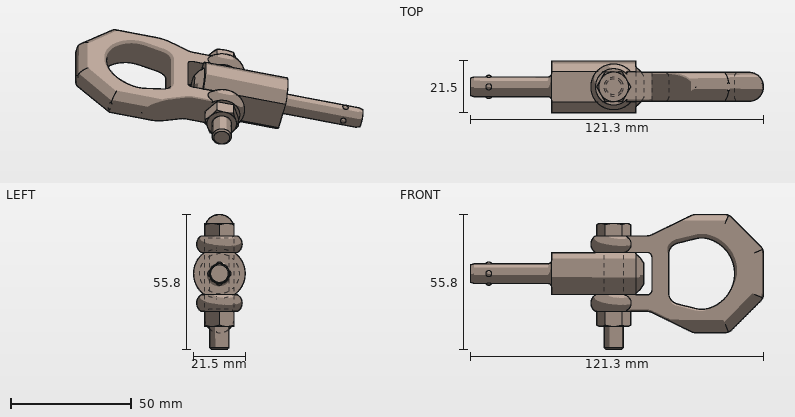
import cadquery as cq
import math


RING_THICKNESS = 12.1
RING_APOTHEM = 24.5
RING_CENTER_X = 37.5
RING_CORNER_RADIUS = 4.1
RIM_RADIUS = RING_THICKNESS / 2

ARM_HALF_HEIGHT = 15.6
TAPER_START_X = 14.8
TAPER_END_X = 33.0
BEND_RADIUS = 4.8
ARM_EDGE_RADIUS = 0.8
SLOT_END_X = 15.8
SLOT_CORNER_RADIUS = 2.0

EYE_CENTER_X = 35.0
EYE_RADIUS = 14.9
EYE_FLAT_X = 22.8
EYE_SIDE_ANGLE = math.radians(14.0)
EYE_SIDE_HEIGHT = 14.7
EYE_CORNER_RADIUS = 4.6
EYE_BLEND_RADIUS = 10.1
EYE_MOUTH_RADIUS = 2.0

BOSS_RADIUS = 9.5
BOSS_FACE_RADIUS = 7.5
BOLT_RADIUS = 4.0
BOLT_END_Z = -31.3
BOLT_END_CHAMFER = 0.7
HEX_FLATS = 12.2
HEX_CHAMFER_ANGLE = math.radians(30.0)
HEAD_HEIGHT = 5.1
NUT_HEIGHT = 6.2

HOUSING_DIAMETER = 21.5
HOUSING_RADIUS = HOUSING_DIAMETER / 2
HOUSING_HALF_HEIGHT = 8.7
HOUSING_START_X = -25.7
HOUSING_END_X = 9.2
DOME_BASE_RADIUS = 8.2
DOME_STEP_X = 11.0
DOME_STEP_RADIUS = 6.5
DOME_END_X = 12.5
DOME_END_RADIUS = 4.4
PIN_RADIUS = 4.1
PIN_TIP_X = -59.3
PIN_TIP_RADIUS = 3.6
PIN_TIP_LENGTH = 1.6
PIN_ROOT_RADIUS = 1.5
BALL_X = -51.7
BALL_RADIUS = 1.3
BALL_OFFSET = 3.5

REACH = 97.0

CLEARANCE = 0.1


def rounded_slab(angle):
    """Long slab whose rounded end lies on one side of the ring octagon."""
    straight_end = RING_APOTHEM - RIM_RADIUS
    slab = (
        cq.Workplane("XY")
        .moveTo(-REACH, -RIM_RADIUS)
        .lineTo(straight_end, -RIM_RADIUS)
        .threePointArc((RING_APOTHEM, 0), (straight_end, RIM_RADIUS))
        .lineTo(-REACH, RIM_RADIUS)
        .close()
        .extrude(REACH, both=True)
    )
    return slab.rotate((0, 0, 0), (0, 1, 0), angle).translate((RING_CENTER_X, 0, 0))


def corners_at(x):
    """Selector for the outline corners at one X."""
    return cq.selectors.BoxSelector((x - CLEARANCE, -REACH, -REACH), (x + CLEARANCE, REACH, REACH))


def ring_outline():
    """Plate with the outline of the arms, tapers and ring, corners rounded."""
    end_x = RING_CENTER_X + RING_APOTHEM
    half_side = RING_APOTHEM * math.tan(math.pi / 8)
    side_end_x = RING_CENTER_X + half_side
    upper = [
        (0, ARM_HALF_HEIGHT),
        (TAPER_START_X, ARM_HALF_HEIGHT),
        (TAPER_END_X, RING_APOTHEM),
        (side_end_x, RING_APOTHEM),
        (end_x, half_side),
    ]
    lower = [(x, -z) for x, z in reversed(upper)]
    plate = cq.Workplane("XZ").polyline(upper + lower).close().extrude(RING_THICKNESS, both=True)
    for bend_x in (TAPER_START_X, TAPER_END_X):
        plate = plate.edges("|Y").edges(corners_at(bend_x)).fillet(BEND_RADIUS)
    for corner_x in (side_end_x, end_x):
        plate = plate.edges("|Y").edges(corners_at(corner_x)).fillet(RING_CORNER_RADIUS)
    return plate


def ring_blank():
    """Outline plate with its rim rounded by one slab per octagon side."""
    blank = ring_outline()
    for angle in (-90, -45, 0, 45, 90):
        blank = blank.intersect(rounded_slab(angle))
    return blank


def round_outer_edges(blank):
    """Round the rims of the arm, bend and taper faces above and below."""
    span_end_x = TAPER_END_X + BEND_RADIUS
    inner_z = ARM_HALF_HEIGHT - CLEARANCE
    upper = cq.selectors.BoxSelector(
        (-CLEARANCE, -REACH, inner_z), (span_end_x, REACH, REACH), boundingbox=True)
    lower = cq.selectors.BoxSelector(
        (-CLEARANCE, -REACH, -REACH), (span_end_x, REACH, -inner_z), boundingbox=True)
    flank_rims = blank.edges("not(|Y)").edges(upper + lower)
    return flank_rims.fillet(ARM_EDGE_RADIUS)


def eye_cutter():
    """Wedge with slanted sides, closed by a round end that blends into them."""
    rise = math.tan(EYE_SIDE_ANGLE)
    flat_height = EYE_SIDE_HEIGHT - rise * (EYE_CENTER_X - EYE_FLAT_X)
    far_x = EYE_CENTER_X + 2 * EYE_RADIUS
    far_height = EYE_SIDE_HEIGHT + rise * (far_x - EYE_CENTER_X)
    wedge = (
        cq.Workplane("XZ")
        .polyline([
            (EYE_FLAT_X, -flat_height),
            (far_x, -far_height),
            (far_x, far_height),
            (EYE_FLAT_X, flat_height),
        ])
        .close()
        .extrude(RING_THICKNESS, both=True)
        .edges("|Y and <X")
        .fillet(EYE_CORNER_RADIUS)
    )
    round_end = (
        cq.Workplane("XZ")
        .moveTo(0, -EYE_RADIUS)
        .lineTo(EYE_CENTER_X, -EYE_RADIUS)
        .threePointArc((EYE_CENTER_X + EYE_RADIUS, 0), (EYE_CENTER_X, EYE_RADIUS))
        .lineTo(0, EYE_RADIUS)
        .close()
        .extrude(RING_THICKNESS, both=True)
    )
    blend_edges = cq.selectors.BoxSelector((EYE_CENTER_X, -REACH, -REACH), (REACH, REACH, REACH))
    return wedge.intersect(round_end).edges("|Y").edges(blend_edges).fillet(EYE_BLEND_RADIUS)


def cut_eye(ring):
    """Cut the opening and round its mouth on both faces."""
    eye = eye_cutter()
    half_height = EYE_RADIUS + CLEARANCE
    mouth = cq.selectors.BoxSelector(
        (EYE_FLAT_X - CLEARANCE, -REACH, -half_height),
        (EYE_CENTER_X + half_height, REACH, half_height),
        boundingbox=True,
    )
    return ring.cut(eye).edges("not(|Y)").edges(mouth).fillet(EYE_MOUTH_RADIUS)


def fork_slot():
    """Round-cornered gap between the arms."""
    return (
        cq.Workplane("XZ")
        .rect(2 * SLOT_END_X, 2 * HOUSING_HALF_HEIGHT)
        .extrude(RING_THICKNESS, both=True)
        .edges("|Y")
        .fillet(SLOT_CORNER_RADIUS)
    )


def boss(side):
    """Barrel-sided boss on the upper (side = 1) or lower (side = -1) arm."""
    mid_height = (HOUSING_HALF_HEIGHT + ARM_HALF_HEIGHT) / 2
    return (
        cq.Workplane("XZ")
        .moveTo(0, side * HOUSING_HALF_HEIGHT)
        .lineTo(BOSS_FACE_RADIUS, side * HOUSING_HALF_HEIGHT)
        .threePointArc((BOSS_RADIUS, side * mid_height), (BOSS_FACE_RADIUS, side * ARM_HALF_HEIGHT))
        .lineTo(0, side * ARM_HALF_HEIGHT)
        .close()
        .revolve(360, (0, 0, 0), (0, 1, 0))
    )


def hexagon(side, height):
    """Bolt head (side = 1) or nut (side = -1), chamfered on its outer face."""
    corner_radius = HEX_FLATS / 2 / math.cos(math.pi / 6)
    face_radius = HEX_FLATS / 2
    end_z = side * (ARM_HALF_HEIGHT + height)
    drop = (corner_radius - face_radius) * math.tan(HEX_CHAMFER_ANGLE)
    prism = (
        cq.Workplane("XY")
        .workplane(offset=side * ARM_HALF_HEIGHT)
        .polygon(6, 2 * corner_radius)
        .extrude(side * height)
    )
    envelope = (
        cq.Workplane("XZ")
        .polyline([
            (0, side * ARM_HALF_HEIGHT),
            (corner_radius, side * ARM_HALF_HEIGHT),
            (corner_radius, end_z - side * drop),
            (face_radius, end_z),
            (0, end_z),
        ])
        .close()
        .revolve(360, (0, 0, 0), (0, 1, 0))
    )
    return prism.intersect(envelope)


def bolt_shank():
    """Bolt from the upper arm face down to its chamfered end."""
    return (
        cq.Workplane("XY")
        .workplane(offset=BOLT_END_Z)
        .circle(BOLT_RADIUS)
        .extrude(ARM_HALF_HEIGHT - BOLT_END_Z)
        .faces("<Z")
        .chamfer(BOLT_END_CHAMFER)
    )


def make_lifting_ring():
    """Ring with its fork, bosses, bolt and nut as one body."""
    ring = cut_eye(round_outer_edges(ring_blank())).cut(fork_slot())
    for side in (1, -1):
        ring = ring.union(boss(side))
    ring = ring.union(hexagon(1, HEAD_HEIGHT)).union(hexagon(-1, NUT_HEIGHT))
    return ring.union(bolt_shank())


def housing_block():
    """Round bar with flats above and below that run between the bosses."""
    bar = (
        cq.Workplane("YZ")
        .workplane(offset=HOUSING_START_X)
        .circle(HOUSING_RADIUS)
        .extrude(HOUSING_END_X - HOUSING_START_X)
    )
    return bar.intersect(cq.Workplane("XY").box(REACH, REACH, 2 * HOUSING_HALF_HEIGHT))


def pin_and_dome():
    """Turned profile of the pin, the fillet at its root and the domed end."""
    fillet_mid = PIN_ROOT_RADIUS * math.sin(math.pi / 4)
    root_radius = PIN_RADIUS + PIN_ROOT_RADIUS
    return (
        cq.Workplane("XY")
        .moveTo(PIN_TIP_X, 0)
        .lineTo(PIN_TIP_X, PIN_TIP_RADIUS)
        .lineTo(PIN_TIP_X + PIN_TIP_LENGTH, PIN_RADIUS)
        .lineTo(HOUSING_START_X - PIN_ROOT_RADIUS, PIN_RADIUS)
        .threePointArc(
            (HOUSING_START_X - PIN_ROOT_RADIUS + fillet_mid, root_radius - fillet_mid),
            (HOUSING_START_X, root_radius),
        )
        .lineTo(HOUSING_END_X, DOME_BASE_RADIUS)
        .lineTo(DOME_STEP_X, DOME_STEP_RADIUS)
        .lineTo(DOME_END_X, DOME_END_RADIUS)
        .lineTo(DOME_END_X, 0)
        .close()
        .revolve(360, (0, 0, 0), (1, 0, 0))
    )


def locking_ball(angle):
    """Ball partly sunk in the pin, turned about the pin axis."""
    ball = cq.Workplane("XY").sphere(BALL_RADIUS).translate((BALL_X, BALL_OFFSET, 0))
    return ball.rotate((0, 0, 0), (1, 0, 0), angle)


def make_pin_housing():
    """Housing with its pin and balls, bored for the bolt."""
    housing = housing_block().union(pin_and_dome())
    for angle in (0, 90, 180, 270):
        housing = housing.union(locking_ball(angle))
    bolt_hole = cq.Workplane("XY").circle(BOLT_RADIUS).extrude(REACH, both=True)
    return housing.cut(bolt_hole)


lifting_ring = make_lifting_ring()
pin_housing = make_pin_housing()
result = cq.Compound.makeCompound([lifting_ring.solids().val(), pin_housing.solids().val()])